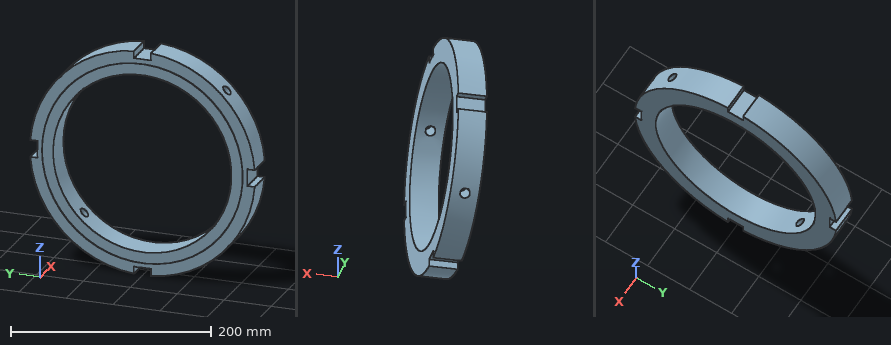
import cadquery as cq
import math

across_slots = 239.3
width = 30.0
bore_diameter = 190.0
shoulder_diameter = 214.0
shoulder_height = 0.5
slot_width = 18.0
slot_floor_radius = 112.0
slot_count = 4
pin_hole_diameter = 10.0
pin_hole_angle = 45.0

outer_radius = math.hypot(across_slots / 2, slot_width / 2)


def make_ring():
    return (
        cq.Workplane("YZ")
        .circle(outer_radius)
        .circle(bore_diameter / 2)
        .extrude(width / 2, both=True)
    )


def make_rim_relief():
    """Shallow cut on the -X face that leaves the raised land around the bore."""
    return (
        cq.Workplane("YZ", origin=(-width / 2, 0, 0))
        .circle(across_slots)
        .circle(shoulder_diameter / 2)
        .extrude(shoulder_height)
    )


def make_slot(angle):
    """Straight spanner slot across the rim, turned about the ring axis."""
    slot_length = outer_radius
    return (
        cq.Workplane("XY")
        .box(width, slot_length, slot_width)
        .translate((0, slot_floor_radius + slot_length / 2, 0))
        .rotate((0, 0, 0), (1, 0, 0), angle)
    )


def make_cross_hole():
    """One drill along a diameter, piercing both opposite walls."""
    return (
        cq.Workplane("XZ")
        .circle(pin_hole_diameter / 2)
        .extrude(across_slots, both=True)
        .rotate((0, 0, 0), (1, 0, 0), -pin_hole_angle)
    )


result = make_ring().cut(make_rim_relief())
for index in range(slot_count):
    result = result.cut(make_slot(index * 360 / slot_count))
result = result.cut(make_cross_hole())